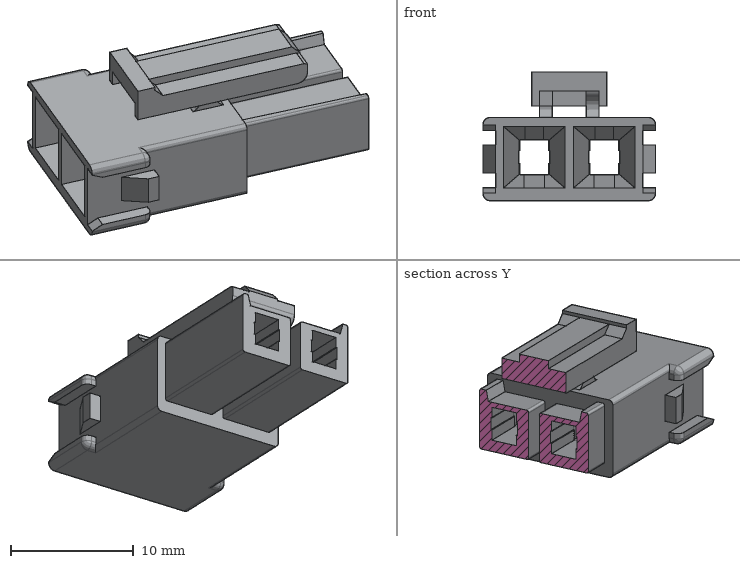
import cadquery as cq
import math


TOTAL_WIDTH = 14.05
TOTAL_LENGTH = 25.0
TOTAL_HEIGHT = 10.5

BODY_WIDTH = 12.0
BODY_LENGTH = 14.0
BODY_HEIGHT = 6.8
BODY_FILLET = 0.4
BODY_MID_Z = BODY_HEIGHT / 2

FLANGE_LENGTH = 5.25
FLANGE_THICKNESS = 1.08
FLANGE_FILLET = 0.6
FLANGE_FRONT_THICKNESS = 0.64
FLANGE_RAMP_LENGTH = 0.9

TAB_HEIGHT = 2.3
TAB_FRONT_Y = 3.0
TAB_RIDGE_Y = 4.92
TAB_BACK_Y = 5.87

PITCH = 5.7
TOWER_WIDTH = 4.72
TOWER_BOTTOM_Z = 1.1
TOWER_TOP_Z = 6.4
TOWER_FILLET = 0.2
TOWER_FLOOR_Z = 5.45
RIDGE_FRONT_TOP = 0.72
RIDGE_FRONT_BASE = 0.9
RIDGE_BACK_TOP = 0.5
RIDGE_BACK_BASE = 0.75

CAVITY_SIZE = 5.0
CAVITY_DEPTH = 8.0
FUNNEL_DEPTH = 5.0
BORE_WIDTH = 2.5
BORE_HEIGHT = 2.84
BORE_NECK_WIDTH = 2.3
BORE_SLOT_HEIGHT = 1.06
TOP_STOP_WIDTH = 1.5
TOP_STOP_DEPTH = 3.4
BOTTOM_STOP_WIDTH = 1.67
CAVITY_MID_Z = 3.55
FUNNEL_END_Y = CAVITY_DEPTH + FUNNEL_DEPTH
CAVITY_TOP_Z = CAVITY_MID_Z + CAVITY_SIZE / 2
CAVITY_BOTTOM_Z = CAVITY_MID_Z - CAVITY_SIZE / 2
BORE_TOP_Z = CAVITY_MID_Z + BORE_HEIGHT / 2
BORE_BOTTOM_Z = CAVITY_MID_Z - BORE_HEIGHT / 2

ARM_WIDTH = 6.14
ARM_FRONT_Y = 5.6
ARM_BACK_Y = 20.48
ARM_BOTTOM_Z = 7.7
ARM_TOP_Z = 9.52
ARM_ROUND = 0.9
ARM_BACK_BEVEL_LENGTH = 0.3
ARM_BACK_BEVEL_HEIGHT = 0.1
HEAD_BACK_Y = 7.1
RIB_WIDTH = 2.8
RIB_TOP_Z = 10.22
RIB_RAMP = RIB_TOP_Z - ARM_TOP_Z

LEG_INNER_X = 1.38
LEG_OUTER_X = 2.44
LEG_WIDTH = LEG_OUTER_X - LEG_INNER_X
LEG_RADIUS = 0.9
LEG_WAIST_Z = 7.65
LEG_FRONT_Y = 11.3
LEG_BACK_Y = 12.77
RECESS_TOP_Z = 8.94
LEFT_RECESS_BACK_Y = HEAD_BACK_Y + RIB_RAMP
LEG_LIP_Z = 8.7
LEG_LIP_LENGTH = 0.15
LEG_WALL_DRAFT = 0.06


def block(x_range, y_range, z_range):
    """Box spanning the given ranges."""
    (x0, x1), (y0, y1), (z0, z1) = x_range, y_range, z_range
    return cq.Workplane("XY").box(x1 - x0, y1 - y0, z1 - z0, centered=False).translate((x0, y0, z0))


def side_profile(x_start):
    """Workplane for Y-Z outlines, extruding toward +X from x_start."""
    return cq.Workplane("YZ", origin=(x_start, 0, 0))


def mirrored(solid):
    """The solid together with its mirror image across X = 0."""
    return solid.union(solid.mirror("YZ"))


def make_body():
    body = block((-BODY_WIDTH / 2, BODY_WIDTH / 2), (0, BODY_LENGTH), (0, BODY_HEIGHT))
    return body.edges("|Y").fillet(BODY_FILLET)


def make_bottom_flange():
    """Full-width plate whose upper face dips toward the mating face."""
    plate = (
        side_profile(-TOTAL_WIDTH / 2)
        .moveTo(0, 0)
        .lineTo(FLANGE_LENGTH, 0)
        .lineTo(FLANGE_LENGTH, FLANGE_THICKNESS)
        .lineTo(FLANGE_RAMP_LENGTH, FLANGE_THICKNESS)
        .lineTo(0, FLANGE_FRONT_THICKNESS)
        .close()
        .extrude(TOTAL_WIDTH)
    )
    return plate.edges("(<Z and |Y) or (>Y and <Z) or (>Y and |Z)").fillet(FLANGE_FILLET)


def make_tab():
    """Right-hand locking tab with a lead-in ramp toward the mating face."""
    wall_x = BODY_WIDTH / 2
    tip_x = TOTAL_WIDTH / 2
    return (
        cq.Workplane("XY", origin=(0, 0, BODY_MID_Z - TAB_HEIGHT / 2))
        .moveTo(wall_x - BODY_FILLET, TAB_FRONT_Y)
        .lineTo(wall_x, TAB_FRONT_Y)
        .lineTo(tip_x, TAB_RIDGE_Y)
        .lineTo(tip_x, TAB_BACK_Y)
        .lineTo(wall_x - BODY_FILLET, TAB_BACK_Y)
        .close()
        .extrude(TAB_HEIGHT)
    )


def ridge_section(y, top_width, base_width):
    """Closed X-Z wire of the space above the right tower's floor, beside its ridge."""
    outer_x = (PITCH + TOWER_WIDTH) / 2
    points = [
        cq.Vector(0, y, TOWER_FLOOR_Z),
        cq.Vector(outer_x - base_width, y, TOWER_FLOOR_Z),
        cq.Vector(outer_x - top_width, y, TOWER_TOP_Z),
        cq.Vector(0, y, TOWER_TOP_Z),
    ]
    return cq.Wire.makePolygon(points, close=True)


def make_tower():
    """Right-hand tower: low floor with a tapering ridge along the outer edge."""
    inner_x = (PITCH - TOWER_WIDTH) / 2
    x_range = (inner_x, inner_x + TOWER_WIDTH)
    tower = block(x_range, (BODY_LENGTH, TOTAL_LENGTH), (TOWER_BOTTOM_Z, TOWER_TOP_Z))
    tower = tower.edges("|Y").edges(">X or <Z").fillet(TOWER_FILLET)
    front = ridge_section(BODY_LENGTH, RIDGE_FRONT_TOP, RIDGE_FRONT_BASE)
    back = ridge_section(TOTAL_LENGTH, RIDGE_BACK_TOP, RIDGE_BACK_BASE)
    tower = tower.cut(cq.Workplane(cq.Solid.makeLoft([front, back], True)))
    inner_edge = cq.selectors.NearestToPointSelector(
        (inner_x, (BODY_LENGTH + TOTAL_LENGTH) / 2, TOWER_FLOOR_Z)
    )
    return tower.edges(inner_edge).fillet(TOWER_FILLET)


def make_cavity(x_mid):
    """Square cavity, funnel with two stops, and the bore out through the tower."""

    def centred(width, y_range, height):
        x_range = (x_mid - width / 2, x_mid + width / 2)
        return block(x_range, y_range, (CAVITY_MID_Z - height / 2, CAVITY_MID_Z + height / 2))

    cavity = centred(CAVITY_SIZE, (0, CAVITY_DEPTH), CAVITY_SIZE)
    funnel = (
        cq.Workplane("XZ", origin=(x_mid, CAVITY_DEPTH, CAVITY_MID_Z))
        .rect(CAVITY_SIZE, CAVITY_SIZE)
        .workplane(offset=-FUNNEL_DEPTH)
        .rect(BORE_WIDTH, BORE_HEIGHT)
        .loft(ruled=True)
    )
    bore = centred(BORE_NECK_WIDTH, (CAVITY_DEPTH, TOTAL_LENGTH), BORE_HEIGHT)
    bore_slot = centred(BORE_WIDTH, (CAVITY_DEPTH, TOTAL_LENGTH), BORE_SLOT_HEIGHT)
    top_stop = (
        side_profile(x_mid - TOP_STOP_WIDTH / 2)
        .moveTo(CAVITY_DEPTH, CAVITY_TOP_Z)
        .lineTo(CAVITY_DEPTH + TOP_STOP_DEPTH, BORE_TOP_Z)
        .lineTo(FUNNEL_END_Y, BORE_TOP_Z)
        .close()
        .extrude(TOP_STOP_WIDTH)
    )
    bottom_stop = block(
        (x_mid - BOTTOM_STOP_WIDTH / 2, x_mid + BOTTOM_STOP_WIDTH / 2),
        (CAVITY_DEPTH, FUNNEL_END_Y),
        (CAVITY_BOTTOM_Z, BORE_BOTTOM_Z),
    )
    funnel = funnel.cut(top_stop).cut(bottom_stop)
    return cavity.union(funnel).union(bore).union(bore_slot)


def make_arm():
    """Latch arm with a raised head at the front and a raised centre rib."""
    side_strips = (
        side_profile(-ARM_WIDTH / 2)
        .moveTo(ARM_FRONT_Y, ARM_BOTTOM_Z)
        .lineTo(ARM_FRONT_Y, TOTAL_HEIGHT)
        .lineTo(HEAD_BACK_Y, TOTAL_HEIGHT)
        .lineTo(HEAD_BACK_Y, RIB_TOP_Z)
        .lineTo(HEAD_BACK_Y + RIB_RAMP, ARM_TOP_Z)
        .lineTo(ARM_BACK_Y - ARM_BACK_BEVEL_LENGTH, ARM_TOP_Z)
        .lineTo(ARM_BACK_Y, ARM_TOP_Z - ARM_BACK_BEVEL_HEIGHT)
        .lineTo(ARM_BACK_Y, ARM_BOTTOM_Z)
        .close()
        .extrude(ARM_WIDTH)
    )
    rib = (
        side_profile(-RIB_WIDTH / 2)
        .moveTo(HEAD_BACK_Y, ARM_BOTTOM_Z)
        .lineTo(HEAD_BACK_Y, RIB_TOP_Z)
        .lineTo(ARM_BACK_Y - RIB_RAMP, RIB_TOP_Z)
        .lineTo(ARM_BACK_Y, ARM_TOP_Z)
        .lineTo(ARM_BACK_Y, ARM_BOTTOM_Z)
        .close()
        .extrude(RIB_WIDTH)
    )
    return side_strips.union(rib).edges(">Y and <Z").fillet(ARM_ROUND)


def make_leg():
    """Right-hand leg, waisted by a round hollow at its front and back."""
    base_drop = LEG_WAIST_Z - BODY_HEIGHT
    base_flare = LEG_RADIUS - math.sqrt(LEG_RADIUS**2 - base_drop**2)
    half_angle = math.asin(base_drop / LEG_RADIUS) / 2
    mid_flare = LEG_RADIUS * (1 - math.cos(half_angle))
    mid_z = LEG_WAIST_Z - LEG_RADIUS * math.sin(half_angle)
    root_z = BODY_HEIGHT - BODY_FILLET
    hollow_y = LEG_FRONT_Y - LEG_RADIUS
    lip_y = hollow_y - LEG_LIP_LENGTH
    return (
        side_profile(LEG_INNER_X)
        .moveTo(lip_y - LEG_WALL_DRAFT, RECESS_TOP_Z)
        .lineTo(lip_y, LEG_LIP_Z)
        .tangentArcPoint((hollow_y, LEG_WAIST_Z + LEG_RADIUS), relative=False)
        .threePointArc((LEG_FRONT_Y, LEG_WAIST_Z), (LEG_FRONT_Y - base_flare, BODY_HEIGHT))
        .lineTo(LEG_FRONT_Y - base_flare, root_z)
        .lineTo(LEG_BACK_Y + base_flare, root_z)
        .lineTo(LEG_BACK_Y + base_flare, BODY_HEIGHT)
        .threePointArc((LEG_BACK_Y + mid_flare, mid_z), (LEG_BACK_Y, LEG_WAIST_Z))
        .lineTo(LEG_BACK_Y, RECESS_TOP_Z)
        .close()
        .extrude(LEG_WIDTH)
    )


def make_latch_recess():
    """Stepped recess under the latch head; its right end runs back over the right leg."""

    def slot(x_range, back_y):
        return block(x_range, (ARM_FRONT_Y, back_y), (ARM_BOTTOM_Z, RECESS_TOP_Z))

    centre = slot((-LEG_INNER_X, LEG_INNER_X), HEAD_BACK_Y)
    left = slot((-LEG_OUTER_X, -LEG_INNER_X), LEFT_RECESS_BACK_Y)
    right = slot((LEG_INNER_X, LEG_OUTER_X), LEG_BACK_Y)
    return centre.union(left).union(right)


bottom_flange = make_bottom_flange()
top_flange = bottom_flange.mirror("XY", (0, 0, BODY_MID_Z))
housing = make_body().union(bottom_flange).union(top_flange)
housing = housing.union(mirrored(make_tab())).union(mirrored(make_tower()))
for cavity_x in (-PITCH / 2, PITCH / 2):
    housing = housing.cut(make_cavity(cavity_x))

right_leg = make_leg()
left_leg = right_leg.mirror("YZ")
latch = make_arm().union(left_leg).cut(make_latch_recess()).union(right_leg)

result = housing.union(latch)